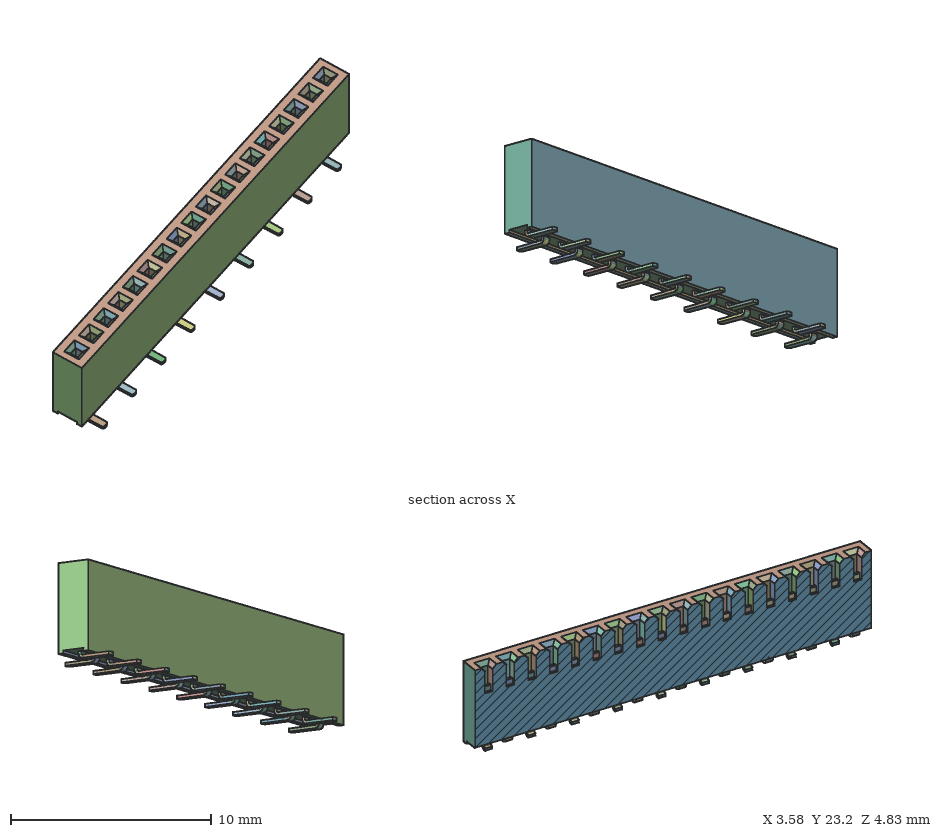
import math

import cadquery as cq

contact_count = 18
pitch = 1.27
housing_length = 23.21
housing_width = 1.78
overall_height = 4.83
rail_bottom = 0.2
rail_height = 0.15
rail_width = 0.3

funnel_mouth = 0.89
funnel_throat = 0.43
well_depth = 1.5

span_over_leads = 3.58
contact_thickness = 0.16
contact_width = 0.42
lead_tip_width = 0.38
lead_tip_bulge = 0.06
inner_bend_radius = 0.07
post_rise = 0.3

funnel_depth = (funnel_mouth - funnel_throat) / 2
well_floor = overall_height - well_depth
post_top = well_floor + post_rise
outer_bend_radius = inner_bend_radius + contact_thickness
half_thickness = contact_thickness / 2
bend_centre_x = half_thickness + inner_bend_radius
lead_tip = span_over_leads / 2
first_contact_y = -pitch * (contact_count - 1) / 2


def make_housing():
    """Solid bar with a full-length recess under it that leaves a rail on each side."""
    bar_height = overall_height - rail_bottom
    recess_width = housing_width - 2 * rail_width
    base = cq.Workplane("XY", origin=(0, 0, rail_bottom))
    bar = base.box(housing_width, housing_length, bar_height, centered=(True, True, False))
    recess = base.box(recess_width, housing_length, rail_height, centered=(True, True, False))
    return bar.cut(recess)


def make_socket():
    """Space of one socket: the tapered funnel and the well below it."""
    funnel = (
        cq.Workplane("XY", origin=(0, 0, overall_height))
        .rect(funnel_mouth, funnel_mouth)
        .workplane(offset=-funnel_depth)
        .rect(funnel_throat, funnel_throat)
        .loft(ruled=True)
    )
    well = cq.Workplane("XY", origin=(0, 0, well_floor)).box(
        funnel_throat, funnel_throat, well_depth - funnel_depth, centered=(True, True, False)
    )
    return funnel.union(well)


def bend_midpoint(radius):
    """Middle of a quarter-circle bend of the given radius, as (x, z)."""
    offset = radius * math.sqrt(0.5)
    return (bend_centre_x - offset, outer_bend_radius - offset)


def make_contact():
    """Bent contact whose lead points along +X."""
    half_width = contact_width / 2
    half_tip_width = lead_tip_width / 2
    tip_shoulder = lead_tip - lead_tip_bulge
    strip = (
        cq.Workplane("XZ", origin=(0, half_width, 0))
        .moveTo(-half_thickness, post_top)
        .lineTo(-half_thickness, outer_bend_radius)
        .threePointArc(bend_midpoint(outer_bend_radius), (bend_centre_x, 0))
        .lineTo(lead_tip, 0)
        .lineTo(lead_tip, contact_thickness)
        .lineTo(bend_centre_x, contact_thickness)
        .threePointArc(bend_midpoint(inner_bend_radius), (half_thickness, outer_bend_radius))
        .lineTo(half_thickness, post_top)
        .close()
        .extrude(contact_width)
    )
    plan = (
        cq.Workplane("XY")
        .moveTo(-half_thickness, -half_width)
        .lineTo(bend_centre_x, -half_width)
        .lineTo(tip_shoulder, -half_tip_width)
        .threePointArc((lead_tip, 0), (tip_shoulder, half_tip_width))
        .lineTo(bend_centre_x, half_width)
        .lineTo(-half_thickness, half_width)
        .close()
        .extrude(post_top)
    )
    return strip.intersect(plan)


socket = make_socket()
right_contact = make_contact()
left_contact = right_contact.mirror("YZ")

result = make_housing()
for index in range(contact_count):
    position = (0, first_contact_y + index * pitch, 0)
    contact = right_contact if index % 2 == 0 else left_contact
    result = result.cut(socket.translate(position)).union(contact.translate(position))